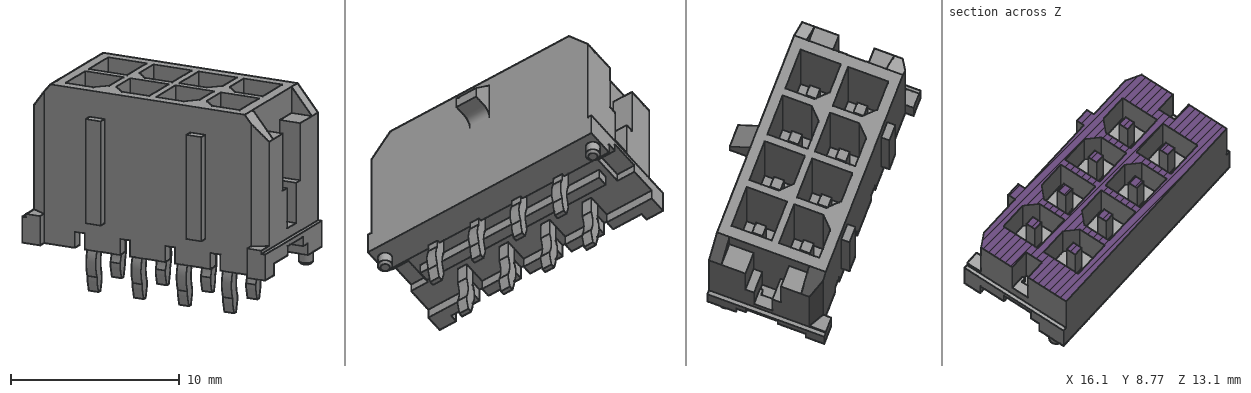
import cadquery as cq


BASE_LENGTH = 16.15
HOUSING_LENGTH = 15.63
CORE_LENGTH = 12.92
HOUSING_DEPTH = 6.88
HOUSING_HEIGHT = 9.93
SHOULDER_Z = 8.3
FLANGE_HEIGHT = 1.62
CORNER_FLOOR_Z = 1.82
CORNER_LENGTH = 0.94
CORNER_DEPTH = 0.52
FRONT_STEP = 0.52

PITCH = 3.0
COLUMNS = 4
CELL_SIZE = 2.55
CELL_FLOOR_Z = 2.25
CELL_CHAMFER = 0.71

RAMP_BACK = 0.79
RAMP_FRONT = 1.05
WIDE_SLOT = 2.25
WIDE_SLOT_Z = 4.75
NARROW_SLOT = 1.16
NARROW_SLOT_Z = 2.25
KEY_DEPTH = 0.32
KEY_REACH = 0.68
KEY_HEAD_LENGTH = 0.35
KEY_STEM_WIDTH = 0.79

CHANNEL_HEIGHT = 0.73
BACK_FOOT = 1.82
FRONT_FOOT = 0.66
END_NOTCH_WIDTH = 2.0
END_NOTCH_Z = 1.31
END_NOTCH_REACH = 1.23
CENTRE_RIB_WIDTH = 0.68
PIN_NOTCH_HEIGHT = 1.0

RIB_SPACING = 6.69
RIB_WIDTH = 1.0
LATCH_WIDTH = 1.42
LATCH_REACH = 1.37
LATCH_TOP_Z = 9.3
LATCH_NOSE_Z = 7.74
LATCH_UNDER_Z = 6.96
LATCH_FILLET = 0.55

PIN_SIZE = 0.65
PIN_TIP_Z = 6.46
PIN_BULGE = 0.16
BULGE_TOP_Z = -0.53
BULGE_END_Z = -2.2
TAPER_Z = -2.45
PIN_END_Z = -3.17
PIN_END_WIDTH = 0.29

PEG_SPACING = 15.02
PEG_DIAMETER = 0.87
PEG_LENGTH = 0.84
PEG_CHAMFER = 0.16
PEG_INSET = 0.97

BACK_Y = HOUSING_DEPTH / 2
FRONT_Y = -BACK_Y
STEP_Y = FRONT_Y - FRONT_STEP
BASE_END = BASE_LENGTH / 2
HOUSING_END = HOUSING_LENGTH / 2
CORE_END = CORE_LENGTH / 2
CORNER_X = HOUSING_END - CORNER_LENGTH
SIDES = (-1, 1)
COLUMN_X = [(column - (COLUMNS - 1) / 2) * PITCH for column in range(COLUMNS)]
ROW_Y = (PITCH / 2, -PITCH / 2)


def block(x_range, y_range, z_range):
    """Axis-aligned box; each range is a pair of limits in any order."""
    limits = [sorted(pair) for pair in (x_range, y_range, z_range)]
    sizes = [high - low for low, high in limits]
    corner = tuple(low for low, high in limits)
    return cq.Workplane("XY").box(*sizes, centered=False).translate(corner)


def centred(width):
    return (-width / 2, width / 2)


def housing_block():
    """Body with sloped end tops and vertical front corner chamfers."""
    body = (
        cq.Workplane("XZ")
        .moveTo(-HOUSING_END, 0)
        .lineTo(HOUSING_END, 0)
        .lineTo(HOUSING_END, SHOULDER_Z)
        .lineTo(CORE_END, HOUSING_HEIGHT)
        .lineTo(-CORE_END, HOUSING_HEIGHT)
        .lineTo(-HOUSING_END, SHOULDER_Z)
        .close()
        .extrude(HOUSING_DEPTH / 2, both=True)
    )
    for side in SIDES:
        corner = (
            cq.Workplane("XY")
            .workplane(offset=CORNER_FLOOR_Z)
            .moveTo(side * HOUSING_END, FRONT_Y)
            .lineTo(side * HOUSING_END, FRONT_Y + CORNER_DEPTH)
            .lineTo(side * CORNER_X, FRONT_Y)
            .close()
            .extrude(HOUSING_HEIGHT)
        )
        body = body.cut(corner)
    return body


def end_flange(side):
    """Thin plate across one end plus the foot stepping out at the front."""
    plate = block((side * CORE_END, side * BASE_END), (STEP_Y, BACK_Y), (0, FLANGE_HEIGHT))
    beyond_foot = block((side * CORE_END, side * CORNER_X), (STEP_Y, FRONT_Y), (0, FLANGE_HEIGHT))
    foot = block((side * CORNER_X, side * HOUSING_END), (STEP_Y, FRONT_Y), (0, CORNER_FLOOR_Z))
    return plate.cut(beyond_foot).union(foot)


def end_opening(side):
    """Space between the end ramps, the stepped slot and its T-shaped key pocket."""
    end_x = (side * CORE_END, side * HOUSING_END)
    opening = block(end_x, (FRONT_Y + RAMP_FRONT, BACK_Y - RAMP_BACK), (SHOULDER_Z, HOUSING_HEIGHT))
    opening = opening.union(block(end_x, centred(WIDE_SLOT), (WIDE_SLOT_Z, HOUSING_HEIGHT)))
    opening = opening.union(block(end_x, centred(NARROW_SLOT), (NARROW_SLOT_Z, HOUSING_HEIGHT)))
    key_z = (NARROW_SLOT_Z - KEY_DEPTH, NARROW_SLOT_Z)
    key_head = block((side * CORE_END, side * (CORE_END + KEY_HEAD_LENGTH)), centred(NARROW_SLOT), key_z)
    key_stem = block((side * CORE_END, side * (CORE_END + KEY_REACH)), centred(KEY_STEM_WIDTH), key_z)
    return opening.union(key_head).union(key_stem)


def cell(x, y, chamfer_side):
    """Square socket; chamfer_side picks the front corner to bevel, 0 for none."""
    socket = block(centred(CELL_SIZE), centred(CELL_SIZE), (CELL_FLOOR_Z, HOUSING_HEIGHT))
    if chamfer_side:
        side_selector = ">X" if chamfer_side > 0 else "<X"
        socket = socket.edges("|Z").edges("<Y").edges(side_selector).chamfer(CELL_CHAMFER)
    return socket.translate((x, y, 0))


def underside():
    """Lengthwise channel between the feet, end notches and pin notches in the front wall."""
    channel_y = (FRONT_Y + FRONT_FOOT, BACK_Y - BACK_FOOT)
    space = block(centred(BASE_LENGTH), channel_y, (0, CHANNEL_HEIGHT))
    space = space.cut(block(centred(CORE_LENGTH), centred(CENTRE_RIB_WIDTH), (0, CHANNEL_HEIGHT)))
    for side in SIDES:
        notch_x = (side * BASE_END, side * (BASE_END - END_NOTCH_REACH))
        space = space.union(block(notch_x, centred(END_NOTCH_WIDTH), (0, END_NOTCH_Z)))
    for x in COLUMN_X:
        notch_x = (x - PIN_SIZE / 2, x + PIN_SIZE / 2)
        space = space.union(block(notch_x, (FRONT_Y, ROW_Y[1]), (0, PIN_NOTCH_HEIGHT)))
    return space


def front_rib(x):
    return block((x - RIB_WIDTH / 2, x + RIB_WIDTH / 2), (STEP_Y, FRONT_Y), (CORNER_FLOOR_Z, SHOULDER_Z))


def latch():
    """Ramped hook on the back wall with a concave fillet below."""
    nose_y = BACK_Y + LATCH_REACH
    return (
        cq.Workplane("YZ")
        .moveTo(BACK_Y, LATCH_TOP_Z)
        .lineTo(nose_y, LATCH_NOSE_Z)
        .lineTo(nose_y, LATCH_UNDER_Z)
        .lineTo(BACK_Y + LATCH_FILLET, LATCH_UNDER_Z)
        .radiusArc((BACK_Y, LATCH_UNDER_Z - LATCH_FILLET), -LATCH_FILLET)
        .close()
        .extrude(LATCH_WIDTH / 2, both=True)
    )


def pin(x, y):
    """Square contact whose tail bows away from the centre and tapers to its end."""
    outward = 1 if y > 0 else -1
    half = PIN_SIZE / 2
    half_end = PIN_END_WIDTH / 2
    bulge = outward * PIN_BULGE
    bulge_z = (BULGE_TOP_Z + BULGE_END_Z) / 2
    profile = (
        cq.Workplane("YZ")
        .moveTo(y - half, PIN_TIP_Z)
        .lineTo(y - half, BULGE_TOP_Z)
        .threePointArc((y - half + bulge, bulge_z), (y - half, BULGE_END_Z))
        .lineTo(y - half, TAPER_Z)
        .lineTo(y - half_end, PIN_END_Z)
        .lineTo(y + half_end, PIN_END_Z)
        .lineTo(y + half, TAPER_Z)
        .lineTo(y + half, BULGE_END_Z)
        .threePointArc((y + half + bulge, bulge_z), (y + half, BULGE_TOP_Z))
        .lineTo(y + half, PIN_TIP_Z)
        .close()
    )
    return profile.extrude(half, both=True).translate((x, 0, 0))


def peg(x):
    stem = cq.Workplane("XY").circle(PEG_DIAMETER / 2).extrude(-PEG_LENGTH)
    return stem.faces("<Z").chamfer(PEG_CHAMFER).translate((x, BACK_Y - PEG_INSET, 0))


CELL_KEYS = ((0, -1, 1, -1), (1, -1, 1, -1))

result = housing_block()
for side in SIDES:
    result = result.union(end_flange(side)).cut(end_opening(side))
    result = result.union(front_rib(side * RIB_SPACING / 2))
    result = result.union(peg(side * PEG_SPACING / 2))
result = result.union(latch()).cut(underside())

for y, row_keys in zip(ROW_Y, CELL_KEYS):
    for x, key in zip(COLUMN_X, row_keys):
        result = result.cut(cell(x, y, key)).union(pin(x, y))